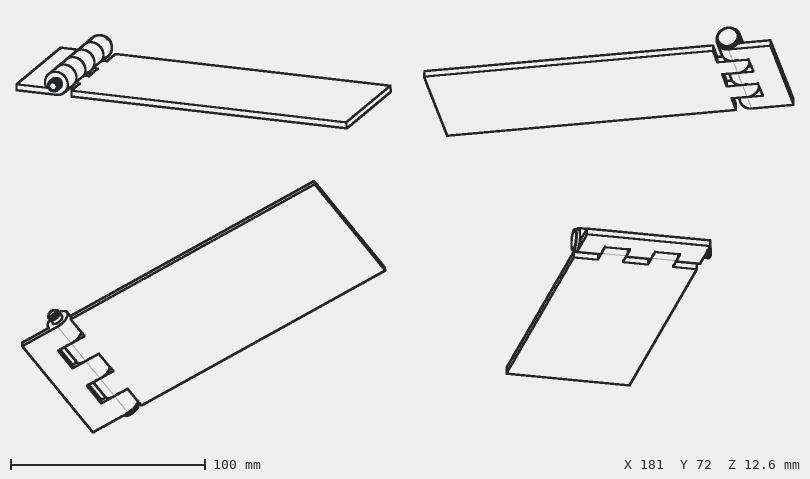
import cadquery as cq

total_length = 181.0
leaf_width = 65.0
leaf_thickness = 3.3
pin_radius = 2.99
barrel_radius = pin_radius + leaf_thickness
barrel_x = 21.9
barrel_z = barrel_radius
leaf_edge_offset = 8.1
end_bevel = 0.4

end_knuckle = 12.7
inner_knuckle = (leaf_width - 2 * end_knuckle) / 3
knuckle_edges = [0.0] + [end_knuckle + i * inner_knuckle for i in range(4)] + [leaf_width]
knuckle_spans = list(zip(knuckle_edges[:-1], knuckle_edges[1:]))

head_radius = 5.6
head_length = 2.0
head_chamfer = 0.4

tail_length = 5.0
groove_radius = 2.7
groove_start = 2.7
groove_taper = 0.4
groove_end = 4.2
tip_radius = 2.2


def extrude_along_y(profile, start, end):
    """Extrude a closed XZ profile from Y = start to Y = end."""
    return profile.extrude(start - end).translate((0, start, 0))


def knuckle(start, end, leaf_edge_x):
    """Barrel ring with a flat strap running from under its axis to the leaf edge."""
    ring = extrude_along_y(
        cq.Workplane("XZ").center(barrel_x, barrel_z).circle(barrel_radius), start, end
    )
    strap_profile = (
        cq.Workplane("XZ")
        .moveTo(barrel_x, 0)
        .lineTo(leaf_edge_x, 0)
        .lineTo(leaf_edge_x, leaf_thickness)
        .lineTo(barrel_x, leaf_thickness)
        .close()
    )
    bore = extrude_along_y(
        cq.Workplane("XZ").center(barrel_x, barrel_z).circle(pin_radius), start, end
    )
    return ring.union(extrude_along_y(strap_profile, start, end)).cut(bore)


def make_leaf(plate, spans, leaf_edge_x):
    """Join a plate with its knuckles."""
    leaf = plate
    for start, end in spans:
        leaf = leaf.union(knuckle(start, end, leaf_edge_x))
    return leaf


short_edge_x = barrel_x - leaf_edge_offset
short_plate = cq.Workplane("XY").box(short_edge_x, leaf_width, leaf_thickness, centered=False)
short_leaf = make_leaf(short_plate, knuckle_spans[0::2], short_edge_x)

long_edge_x = barrel_x + leaf_edge_offset
long_profile = (
    cq.Workplane("XZ")
    .moveTo(long_edge_x, 0)
    .lineTo(total_length, 0)
    .lineTo(total_length - end_bevel, leaf_thickness)
    .lineTo(long_edge_x, leaf_thickness)
    .close()
)
long_plate = extrude_along_y(long_profile, 0, leaf_width)
long_leaf = make_leaf(long_plate, knuckle_spans[1::2], long_edge_x)


def make_pin():
    """Revolve the headed, grooved pin about the barrel axis."""
    head_end = leaf_width + head_length
    half_section = (
        cq.Workplane("XY")
        .moveTo(0, -tail_length)
        .lineTo(tip_radius, -tail_length)
        .lineTo(pin_radius, -tail_length + pin_radius - tip_radius)
        .lineTo(pin_radius, -groove_end)
        .lineTo(groove_radius, -groove_end)
        .lineTo(groove_radius, -groove_start - groove_taper)
        .lineTo(pin_radius, -groove_start)
        .lineTo(pin_radius, leaf_width)
        .lineTo(head_radius, leaf_width)
        .lineTo(head_radius, head_end - head_chamfer)
        .lineTo(head_radius - head_chamfer, head_end)
        .lineTo(0, head_end)
        .close()
    )
    return half_section.revolve(360, (0, 0, 0), (0, 1, 0)).translate((barrel_x, 0, barrel_z))


pin = make_pin()

result = cq.Compound.makeCompound([short_leaf.val(), long_leaf.val(), pin.val()])